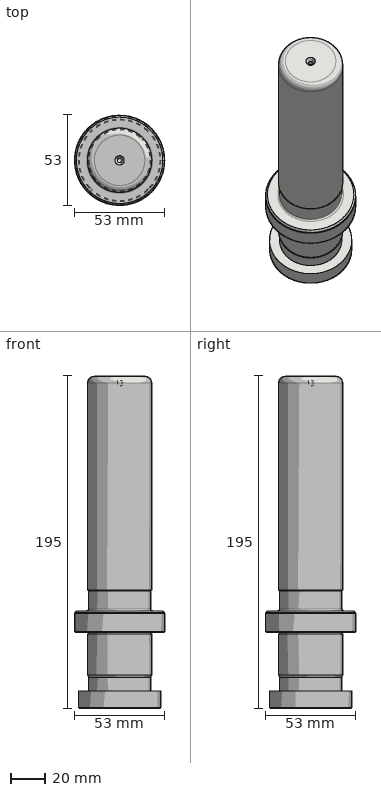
import cadquery as cq
import math

total_height = 195.0
disc_radius = 24.2
disc_height = 10.3
disc_chamfer = 0.49

pin_radius = 19.0
neck_radius = 18.3
flange_radius = 26.5
tip_fillet = 4.0

pin_bottom = 18.1
shank_top = 43.7
flange_bottom = 44.7
flange_top = 57.3
guide_bottom = 69.6

flange_chamfer_width = 1.0
flange_chamfer_height = 1.2
flange_lip_width = 0.2
flange_lip_height = 0.5
flange_lower_chamfer = 0.49
pin_chamfer_width = 1.0
pin_chamfer_height = 1.5
guide_chamfer = 0.5
root_fillet = 1.0

centre_mouth_radius = 2.7
centre_pilot_radius = 1.4
centre_pilot_length = 3.0
countersink_half_angle = math.radians(30)
drill_tip_half_angle = math.radians(60)


def make_foot():
    """Foot: round disc with a neck that meets the lower end of the pin."""
    disc = cq.Workplane("XY").circle(disc_radius).extrude(disc_height)
    disc = disc.faces("<Z").edges().chamfer(disc_chamfer)
    neck = cq.Workplane("XY").workplane(offset=disc_height).circle(neck_radius).extrude(pin_bottom - disc_height)
    return disc.union(neck)


def make_pin_body():
    """Revolved pin: shank, undercut, flange and long guide."""
    flange_lip_top = flange_top - flange_chamfer_height
    fillet_diagonal = root_fillet * (1 - math.sqrt(0.5))
    tip_diagonal = tip_fillet * (1 - math.sqrt(0.5))
    profile = (
        cq.Workplane("XZ")
        .moveTo(0, pin_bottom)
        .lineTo(pin_radius - pin_chamfer_width, pin_bottom)
        .lineTo(pin_radius, pin_bottom + pin_chamfer_height)
        .lineTo(pin_radius, shank_top)
        .lineTo(neck_radius, shank_top)
        .lineTo(neck_radius, flange_bottom)
        .lineTo(flange_radius - flange_lower_chamfer, flange_bottom)
        .lineTo(flange_radius, flange_bottom + flange_lower_chamfer)
        .lineTo(flange_radius, flange_lip_top - flange_lip_height)
        .lineTo(flange_radius - flange_lip_width, flange_lip_top)
        .lineTo(flange_radius - flange_lip_width - flange_chamfer_width, flange_top)
        .lineTo(neck_radius + root_fillet, flange_top)
        .threePointArc(
            (neck_radius + fillet_diagonal, flange_top + fillet_diagonal),
            (neck_radius, flange_top + root_fillet),
        )
        .lineTo(neck_radius, guide_bottom - guide_chamfer)
        .lineTo(pin_radius, guide_bottom)
        .lineTo(pin_radius, total_height - tip_fillet)
        .threePointArc(
            (pin_radius - tip_diagonal, total_height - tip_diagonal),
            (pin_radius - tip_fillet, total_height),
        )
        .lineTo(0, total_height)
        .close()
    )
    return profile.revolve(360, (0, 0, 0), (0, 1, 0))


def make_centre_hole():
    """Centre-drill cutter: countersink, pilot and conical drill tip."""
    countersink_depth = (centre_mouth_radius - centre_pilot_radius) / math.tan(countersink_half_angle)
    pilot_top = total_height - countersink_depth
    pilot_bottom = pilot_top - centre_pilot_length
    tip_depth = centre_pilot_radius / math.tan(drill_tip_half_angle)
    return (
        cq.Workplane("XZ")
        .moveTo(0, total_height)
        .lineTo(centre_mouth_radius, total_height)
        .lineTo(centre_pilot_radius, pilot_top)
        .lineTo(centre_pilot_radius, pilot_bottom)
        .lineTo(0, pilot_bottom - tip_depth)
        .close()
        .revolve(360, (0, 0, 0), (0, 1, 0))
    )


foot = make_foot()
guide_pin = make_pin_body().cut(make_centre_hole())

result = cq.Compound.makeCompound([foot.val(), guide_pin.val()])